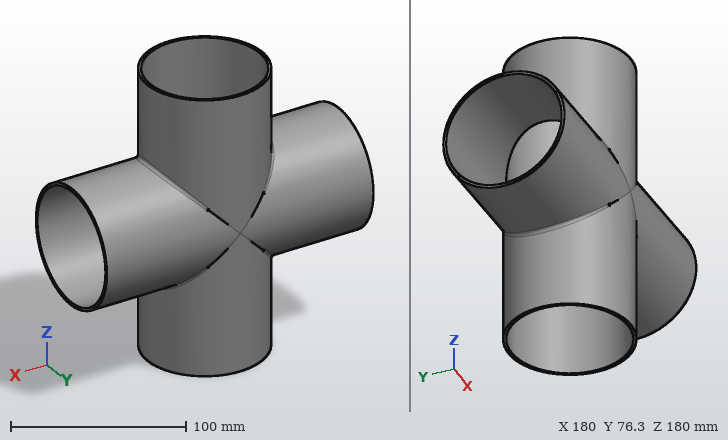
import cadquery as cq

run_length = 180.0
outer_diameter = 76.3
bore_diameter = 72.7
junction_blend = 2.0
core_size = outer_diameter / 2

half_run = run_length / 2


def cross(diameter):
    """Two equal cylinders along X and Z, crossing at the origin."""
    along_x = cq.Workplane("YZ").circle(diameter / 2).extrude(half_run, both=True)
    along_z = along_x.rotate((0, 0, 0), (0, 1, 0), 90)
    return along_x.union(along_z)


def blended_quarter(tubes):
    """The +X +Z quarter of the tubes, with its outer junction curve rounded.

    The crease flattens out and vanishes at the crossing point on each side, so the
    blend stops at the edge of a square core that is left unrounded.
    """
    quadrant = cq.Workplane("XY").box(half_run, outer_diameter, half_run, centered=(False, True, False))
    core = cq.Workplane("XY").box(core_size, outer_diameter, core_size)
    quarter = tubes.intersect(quadrant)
    branches = quarter.cut(core).edges("%ELLIPSE").edges(">X").fillet(junction_blend)
    return branches.union(quarter.intersect(core))


tubes = cross(outer_diameter).cut(cross(bore_diameter))
quarter = blended_quarter(tubes)
half = quarter.union(quarter.mirror("YZ"))
result = half.union(half.mirror("XY")).clean()